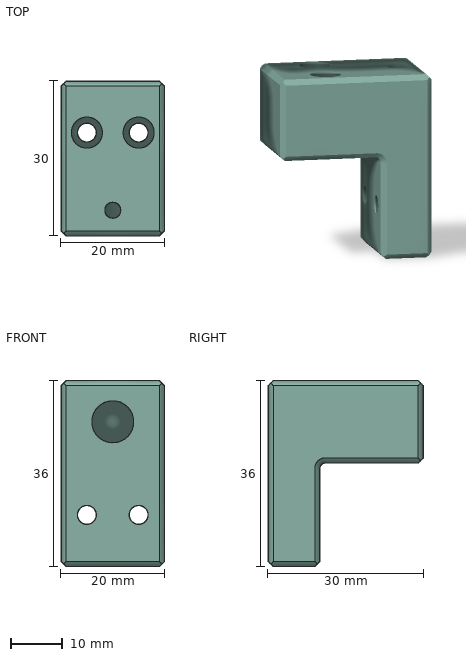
import cadquery as cq

width = 20.0
depth = 30.0
height = 36.0
arm_height = 16.0
leg_thickness = 10.0
edge_chamfer = 1.0
inner_corner_radius = 1.0

screw_diameter = 3.6
screw_spacing = width / 2
leg_screw_z = leg_thickness
arm_screw_y = 2 * leg_thickness
counterbore_diameter = 6.0
counterbore_depth = 6.0

bore_diameter = 8.1
bore_depth = 15.0
bore_z = height - arm_height / 2
lock_diameter = 3.1
lock_y = leg_thickness / 2


def vertical_hole(x, y, diameter, length):
    """Cutter reaching down from the top face."""
    return cq.Workplane("XY", origin=(x, y, height)).circle(diameter / 2).extrude(-length)


def horizontal_hole(x, z, diameter, length):
    """Cutter reaching back from the front face."""
    return cq.Workplane("XZ", origin=(x, 0, z)).circle(diameter / 2).extrude(-length)


def make_body():
    """L-shaped block, rounded in the inner corner and chamfered on the outer edges."""
    arm_underside = height - arm_height
    profile = [
        (0, 0),
        (leg_thickness, 0),
        (leg_thickness, arm_underside),
        (depth, arm_underside),
        (depth, height),
        (0, height),
    ]
    body = cq.Workplane("YZ").polyline(profile).close().extrude(width / 2, both=True)
    inner_corner = cq.selectors.NearestToPointSelector((0, leg_thickness, arm_underside))
    body = body.edges("|X").edges(inner_corner).fillet(inner_corner_radius)
    bevelled_sides = body.faces("<X or >X").edges().chamfer(edge_chamfer)
    bevelled_ends = body.faces("<Y or >Y or <Z or >Z").edges("|X").chamfer(edge_chamfer)
    return bevelled_sides.intersect(bevelled_ends)


result = make_body()
for x in (-screw_spacing / 2, screw_spacing / 2):
    result = result.cut(horizontal_hole(x, leg_screw_z, screw_diameter, leg_thickness))
    result = result.cut(vertical_hole(x, arm_screw_y, screw_diameter, arm_height))
    result = result.cut(vertical_hole(x, arm_screw_y, counterbore_diameter, counterbore_depth))
result = result.cut(horizontal_hole(0, bore_z, bore_diameter, bore_depth))
result = result.cut(vertical_hole(0, lock_y, lock_diameter, height - bore_z))